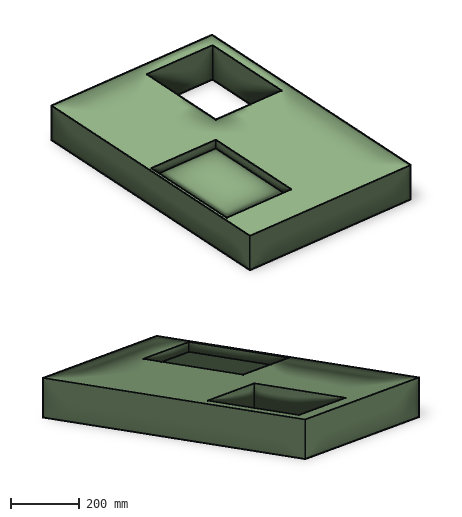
import cadquery as cq

slab_length = 920.0
slab_width = 610.0
slab_height = 120.0

opening_length = 320.0
opening_width = 250.0
opening_left_margin = 45.0
opening_back_margin = 35.0

recess_length = 350.0
recess_width = 245.0
recess_depth = 30.0
recess_left_margin = 450.5
recess_front_margin = 10.0

left_side = -slab_length / 2
front_side = -slab_width / 2
back_side = slab_width / 2


def top_cutter(x_min, y_min, length, width, depth):
    """Rectangular block reaching down from the top face by the given depth."""
    return (
        cq.Workplane("XY")
        .box(length, width, depth, centered=False)
        .translate((x_min, y_min, slab_height - depth))
    )


slab = cq.Workplane("XY").box(slab_length, slab_width, slab_height, centered=(True, True, False))

opening = top_cutter(
    left_side + opening_left_margin,
    back_side - opening_back_margin - opening_width,
    opening_length,
    opening_width,
    slab_height,
)

recess = top_cutter(
    left_side + recess_left_margin,
    front_side + recess_front_margin,
    recess_length,
    recess_width,
    recess_depth,
)

result = slab.cut(opening).cut(recess)